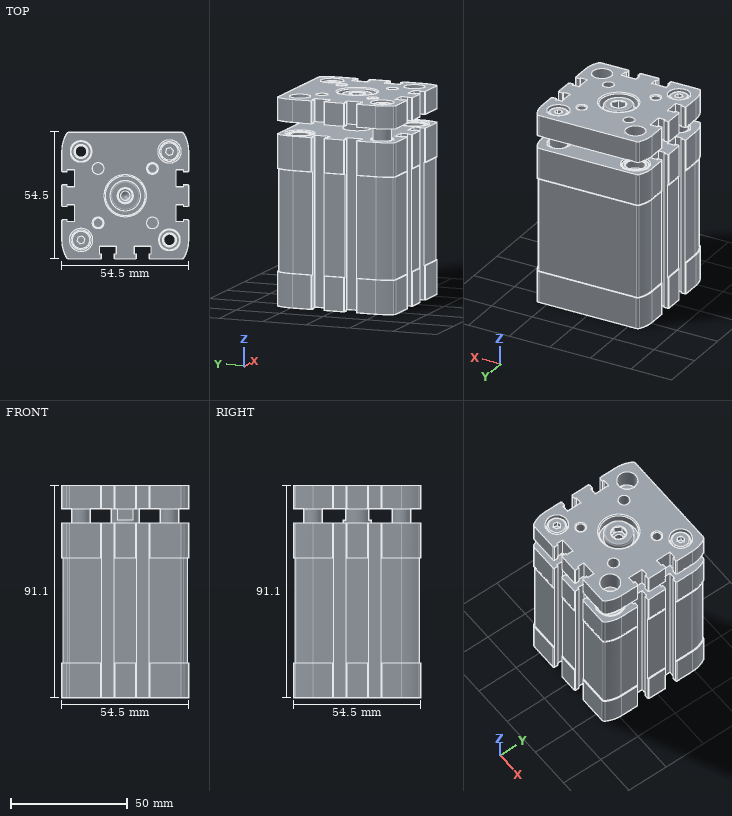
import cadquery as cq
import math

WIDTH = 54.5
HALF = WIDTH / 2
SIDE_FLAT_HALF = 19.0
SHOULDER_RADIUS = 15.0
CORNER_RADIUS = 1.5

TOTAL_HEIGHT = 91.1
PLATE_THICKNESS = 10.0
HOUSING_HEIGHT = 75.1
CAP_HEIGHT = 15.0
TUBE_INSET = 0.5
PLATE_BOTTOM = TOTAL_HEIGHT - PLATE_THICKNESS
ROD_END = HOUSING_HEIGHT - CAP_HEIGHT

SLOT_OFFSET = 7.5
SLOT_MOUTH = 5.5
SLOT_LIP = 2.3
SLOT_WIDTH = 7.1
SLOT_DEPTH = 5.5
SLOT_EDGE = 0.4

CENTRE = [(0, 0)]
CORNER_PITCH = 18.95
ROD_CORNERS = [(CORNER_PITCH, CORNER_PITCH), (-CORNER_PITCH, -CORNER_PITCH)]
SCREW_CORNERS = [(CORNER_PITCH, -CORNER_PITCH), (-CORNER_PITCH, CORNER_PITCH)]

GUIDE_DIAMETER = 8.0
GUIDE_HEAD_DIAMETER = 8.5
GUIDE_CHAMFER = 0.55
GUIDE_RECESS = 0.7
GUIDE_SOCKET_FLATS = 3.0
GUIDE_SOCKET_DEPTH = 2.7
GUIDE_SOCKET_TURN = 15
GUIDE_POCKET_DIAMETER = 10.0
GUIDE_POCKET_DEPTH = 5.0
GUIDE_BORE_MOUTH = 10.0
GUIDE_BORE_MOUTH_DEPTH = 0.55

ROD_DIAMETER = 12.0
ROD_FLATS = 10.0
ROD_COLLAR = 1.2
HEAD_DIAMETER = 13.0
HEAD_FILLET = 0.6
HEAD_RECESS = 0.9
HEAD_POCKET_DIAMETER = 17.0
HEAD_POCKET_DEPTH = 5.0
HEAD_POCKET_CHAMFER = 0.55
SOCKET_FLATS = 6.0
SOCKET_DEPTH = 3.6
PILOT_DIAMETER = 4.0
PILOT_DEPTH = 3.6

HOLE_PITCH = 11.7
THREAD_POINTS = [(HOLE_PITCH, HOLE_PITCH), (-HOLE_PITCH, -HOLE_PITCH)]
PIN_POINTS = [(HOLE_PITCH, -HOLE_PITCH), (-HOLE_PITCH, HOLE_PITCH)]
PIN_HOLE = 5.0
THREAD_HOLE = 4.1
THREAD_MOUTH = 5.0
ACCESS_HOLE = 9.0

SCREW_HOLE = 4.9
SCREW_HOLE_MOUTH = 6.0
SCREW_BORE = 8.6
SCREW_BORE_MOUTH = 9.5
SCREW_BORE_DEPTH = 4.3
SCREW_POCKET = 12.8
COLLAR_DIAMETER = 12.0
COLLAR_HEIGHT = 0.9
COLLAR_CHAMFER = 0.4
COLLAR_RECESS = 0.4

COUNTERSINK_SLOPE = 45
SHALLOW_SLOPE = 30


def outline_prism(inset, bottom, height):
    """Square block with arched shoulders, shrunk evenly by the inset."""
    half = HALF - inset
    large = SHOULDER_RADIUS - inset
    small = CORNER_RADIUS - inset
    arc_x = HALF - SHOULDER_RADIUS
    arc_y = SIDE_FLAT_HALF
    blend_y = HALF - CORNER_RADIUS
    turn = math.asin((blend_y - arc_y) / (SHOULDER_RADIUS - CORNER_RADIUS))
    blend_x = arc_x + (SHOULDER_RADIUS - CORNER_RADIUS) * math.cos(turn)
    blend_mid = (turn + math.pi / 2) / 2

    def on_large(angle):
        return (arc_x + large * math.cos(angle), arc_y + large * math.sin(angle))

    def on_small(angle):
        return (blend_x + small * math.cos(angle), blend_y + small * math.sin(angle))

    quarter = (
        cq.Workplane("XY", origin=(0, 0, bottom))
        .lineTo(half, 0)
        .lineTo(half, arc_y)
        .threePointArc(on_large(turn / 2), on_large(turn))
        .threePointArc(on_small(blend_mid), (blend_x, half))
        .lineTo(0, half)
        .close()
        .extrude(height)
    )
    right_half = quarter.union(quarter.mirror("XZ"))
    return right_half.union(right_half.mirror("YZ")).clean()


def t_slots(bottom, height):
    mouth = SLOT_MOUTH / 2
    inner = SLOT_WIDTH / 2
    right_side = [
        (mouth + SLOT_EDGE, -HALF),
        (mouth, -HALF + SLOT_EDGE),
        (mouth, -HALF + SLOT_LIP),
        (inner, -HALF + SLOT_LIP),
        (inner, -HALF + SLOT_DEPTH),
    ]
    left_side = [(-x, y) for x, y in reversed(right_side)]
    profile = right_side + left_side
    pair = cq.Workplane("XY", origin=(0, 0, bottom))
    for centre in (-SLOT_OFFSET, SLOT_OFFSET):
        pair = pair.polyline([(centre + x, y) for x, y in profile]).close()
    pair = pair.extrude(height)
    slots = pair
    for angle in (90, -90):
        slots = slots.union(pair.rotate((0, 0, 0), (0, 0, 1), angle))
    return slots


def cylinders(points, diameter, bottom, top):
    return (
        cq.Workplane("XY", origin=(0, 0, bottom))
        .pushPoints(points)
        .circle(diameter / 2)
        .extrude(top - bottom)
    )


def cones(points, bottom_diameter, top_diameter, top, slope=COUNTERSINK_SLOPE):
    """Cones that narrow downwards, with sides at the given slope from the horizontal."""
    depth = (top_diameter - bottom_diameter) / 2 * math.tan(math.radians(slope))
    cone = cq.Solid.makeCone(bottom_diameter / 2, top_diameter / 2, depth, cq.Vector(0, 0, top - depth))
    return cq.Workplane("XY").pushPoints(points).eachpoint(lambda place: cone.moved(place))


def hex_sockets(points, flats, top, depth, turn=0):
    """Hexagonal pockets, each turned about its own axis by the given degrees."""
    across_corners = flats / math.cos(math.pi / 6)
    socket = (
        cq.Workplane("XY", origin=(0, 0, top - depth))
        .polygon(6, across_corners)
        .extrude(depth)
        .rotate((0, 0, 0), (0, 0, 1), turn)
        .val()
    )
    return cq.Workplane("XY").pushPoints(points).eachpoint(lambda place: socket.moved(place))


def make_housing():
    tube_height = HOUSING_HEIGHT - 2 * CAP_HEIGHT
    body = outline_prism(TUBE_INSET, CAP_HEIGHT, tube_height)
    for bottom in (0, HOUSING_HEIGHT - CAP_HEIGHT):
        body = body.union(outline_prism(0, bottom, CAP_HEIGHT))
    body = body.cut(t_slots(0, HOUSING_HEIGHT))
    body = body.cut(cylinders(CENTRE, ROD_DIAMETER, ROD_END, HOUSING_HEIGHT))
    mouth_floor = HOUSING_HEIGHT - GUIDE_BORE_MOUTH_DEPTH
    body = body.cut(cylinders(ROD_CORNERS, GUIDE_DIAMETER, ROD_END, HOUSING_HEIGHT))
    body = body.cut(cylinders(ROD_CORNERS, GUIDE_BORE_MOUTH, mouth_floor, HOUSING_HEIGHT))
    return body.cut(screw_holes())


def screw_holes():
    """Stepped through holes, each ringed by a collar that stands in a shallow pocket."""
    top = HOUSING_HEIGHT
    collar_top = top - COLLAR_RECESS
    pocket_floor = collar_top - COLLAR_HEIGHT
    bore_floor = top - SCREW_BORE_DEPTH
    pocket = cylinders(SCREW_CORNERS, SCREW_POCKET, pocket_floor, top)
    collar = cylinders(SCREW_CORNERS, COLLAR_DIAMETER, pocket_floor, collar_top)
    holes = pocket.cut(collar.faces(">Z").edges().chamfer(COLLAR_CHAMFER))
    holes = holes.union(cylinders(SCREW_CORNERS, SCREW_BORE, bore_floor, collar_top))
    holes = holes.union(cones(SCREW_CORNERS, SCREW_BORE, SCREW_BORE_MOUTH, collar_top, SHALLOW_SLOPE))
    holes = holes.union(cylinders(SCREW_CORNERS, SCREW_HOLE, 0, bore_floor))
    return holes.union(cones(SCREW_CORNERS, SCREW_HOLE, SCREW_HOLE_MOUTH, bore_floor))


def make_plate():
    plate = outline_prism(0, PLATE_BOTTOM, PLATE_THICKNESS).cut(t_slots(PLATE_BOTTOM, PLATE_THICKNESS))
    top = TOTAL_HEIGHT
    plate = plate.cut(cylinders(THREAD_POINTS, THREAD_HOLE, PLATE_BOTTOM, top))
    plate = plate.cut(cones(THREAD_POINTS, THREAD_HOLE, THREAD_MOUTH, top))
    plate = plate.cut(cylinders(PIN_POINTS, PIN_HOLE, PLATE_BOTTOM, top))
    plate = plate.cut(cylinders(SCREW_CORNERS, ACCESS_HOLE, PLATE_BOTTOM, top))
    plate = plate.cut(cylinders(ROD_CORNERS, GUIDE_POCKET_DIAMETER, top - GUIDE_POCKET_DEPTH, top))
    plate = plate.cut(cylinders(CENTRE, HEAD_POCKET_DIAMETER, top - HEAD_POCKET_DEPTH, top))
    pocket_mouth = HEAD_POCKET_DIAMETER + 2 * HEAD_POCKET_CHAMFER
    return plate.cut(cones(CENTRE, HEAD_POCKET_DIAMETER, pocket_mouth, top))


def make_piston_rod():
    head_top = TOTAL_HEIGHT - HEAD_RECESS
    head_bottom = TOTAL_HEIGHT - HEAD_POCKET_DEPTH
    rod = cylinders(CENTRE, ROD_DIAMETER, ROD_END, head_bottom)
    flats_bottom = HOUSING_HEIGHT + ROD_COLLAR
    flats_height = PLATE_BOTTOM - flats_bottom
    for side in (1, -1):
        cutter_centre = side * (ROD_FLATS + ROD_DIAMETER) / 2
        cutter = (
            cq.Workplane("XY", origin=(0, cutter_centre, flats_bottom))
            .rect(ROD_DIAMETER, ROD_DIAMETER)
            .extrude(flats_height)
        )
        rod = rod.cut(cutter)
    head = cylinders(CENTRE, HEAD_DIAMETER, head_bottom, head_top).faces(">Z").edges().fillet(HEAD_FILLET)
    return rod.union(head)


def piston_socket():
    top = TOTAL_HEIGHT - HEAD_RECESS
    corners_across = SOCKET_FLATS / math.cos(math.pi / 6)
    floor = top - SOCKET_DEPTH
    pilot_top = floor - (SOCKET_FLATS - PILOT_DIAMETER) / 2 * math.tan(math.radians(SHALLOW_SLOPE))
    pilot_floor = pilot_top - PILOT_DEPTH
    socket = hex_sockets(CENTRE, SOCKET_FLATS, top, SOCKET_DEPTH)
    socket = socket.union(cones(CENTRE, SOCKET_FLATS, corners_across, top, SHALLOW_SLOPE))
    socket = socket.union(cones(CENTRE, PILOT_DIAMETER, SOCKET_FLATS, floor, SHALLOW_SLOPE))
    socket = socket.union(cylinders(CENTRE, PILOT_DIAMETER, pilot_floor, pilot_top))
    return socket.union(cones(CENTRE, 0, PILOT_DIAMETER, pilot_floor, SHALLOW_SLOPE))


def make_guide_rods():
    top = TOTAL_HEIGHT - GUIDE_RECESS
    head_bottom = TOTAL_HEIGHT - GUIDE_POCKET_DEPTH
    rods = cylinders(ROD_CORNERS, GUIDE_DIAMETER, ROD_END, head_bottom)
    heads = cylinders(ROD_CORNERS, GUIDE_HEAD_DIAMETER, head_bottom, top)
    return rods.union(heads.faces(">Z").chamfer(GUIDE_CHAMFER))


def guide_sockets():
    top = TOTAL_HEIGHT - GUIDE_RECESS
    return hex_sockets(ROD_CORNERS, GUIDE_SOCKET_FLATS, top, GUIDE_SOCKET_DEPTH, GUIDE_SOCKET_TURN)


def make_carriage():
    """Front plate with the piston rod and both guide rods fixed to it."""
    carriage = make_plate().union(make_piston_rod()).union(make_guide_rods())
    return carriage.cut(piston_socket()).cut(guide_sockets())


housing = make_housing()
carriage = make_carriage()

result = cq.Compound.makeCompound([housing.val(), carriage.val()])